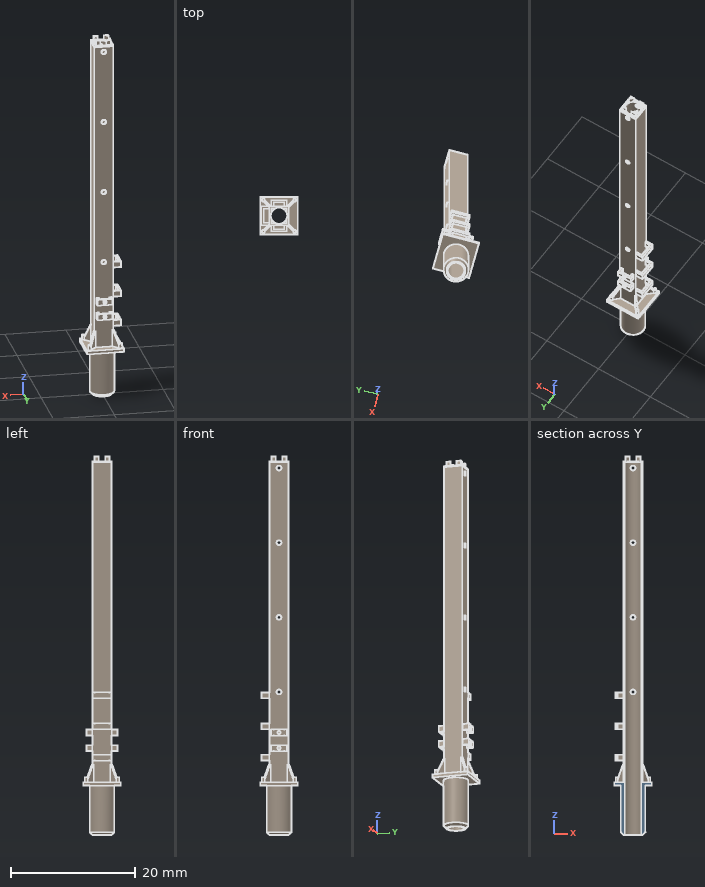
import cadquery as cq
import math

total_height = 60.9
bore_diameter = 2.6

spigot_diameter = 4.0
spigot_length = 8.0
spigot_chamfer = 0.5

flange_side = 6.0
flange_thickness = 0.55
flange_top = spigot_length + flange_thickness
stud_diameter = 0.5
stud_height = 0.8
stud_inset = 0.5
stud_offset = flange_side / 2 - stud_inset

column_side = 3.1
column_half = column_side / 2
cross_hole_diameter = 0.75
cross_hole_count = 4
cross_hole_pitch = 12.0
lowest_cross_hole = 23.0

gusset_thickness = 0.275
gusset_height = 2.8
gusset_foot_offset = 2.55

bracket_height = 1.0
bracket_wall = 0.35
side_bracket_width = 3.05
side_bracket_reach = 1.3
side_bracket_count = 3
side_bracket_pitch = 5.0
lowest_side_bracket = 12.0
face_bracket_width = 2.45
face_bracket_reach = 1.0
face_bracket_count = 2
face_bracket_pitch = 2.5
lowest_face_bracket = 13.5
face_bracket_hole_diameter = 0.5

cap_thickness = 0.2
peg_height = 0.8
peg_side = 0.75
peg_offset = 0.85
cap_top = total_height - peg_height
column_top = cap_top - cap_thickness


def corner_points(offset):
    """The four points at +-offset in X and Y."""
    return [(x, y) for x in (-offset, offset) for y in (-offset, offset)]


def square_block(side, bottom, top):
    """Square prism centred on the Z axis."""
    return cq.Workplane("XY", origin=(0, 0, bottom)).rect(side, side).extrude(top - bottom)


def axial_bore():
    """Cutter for the bore that runs the full height."""
    return cq.Workplane("XY").circle(bore_diameter / 2).extrude(total_height)


def spigot():
    """Round spigot with a chamfered lower end."""
    shaft = cq.Workplane("XY").circle(spigot_diameter / 2).extrude(spigot_length)
    return shaft.faces("<Z").chamfer(spigot_chamfer)


def studs():
    """Locating studs on the flange corners."""
    base = cq.Workplane("XY", origin=(0, 0, flange_top)).pushPoints(corner_points(stud_offset))
    return base.circle(stud_diameter / 2).extrude(stud_height)


def gusset(angle):
    """Triangular rib outwards from a column corner, turned to the given angle about Z."""
    corner_radius = column_half * math.sqrt(2)
    foot_radius = gusset_foot_offset * math.sqrt(2)
    root_radius = corner_radius - gusset_thickness
    rib = (
        cq.Workplane("XZ", origin=(0, gusset_thickness / 2, 0))
        .moveTo(root_radius, flange_top)
        .lineTo(foot_radius, flange_top)
        .lineTo(corner_radius, flange_top + gusset_height)
        .lineTo(root_radius, flange_top + gusset_height)
        .close()
        .extrude(gusset_thickness)
    )
    return rib.rotate((0, 0, 0), (0, 0, 1), angle)


def bracket(width, reach, bottom):
    """Loop bracket on the +X column face."""
    slot_reach = reach - bracket_wall
    slot_width = width - 2 * bracket_wall
    base = cq.Workplane("XY", origin=(column_half, 0, bottom))
    block = base.center(reach / 2, 0).rect(reach, width).extrude(bracket_height)
    slot = base.center(slot_reach / 2, 0).rect(slot_reach, slot_width).extrude(bracket_height)
    return block.cut(slot)


def face_bracket(bottom):
    """Narrow bracket with a round hole through its outer wall."""
    wall_start = column_half + face_bracket_reach - bracket_wall
    start = cq.Workplane("YZ", origin=(wall_start, 0, bottom + bracket_height / 2))
    hole = start.circle(face_bracket_hole_diameter / 2).extrude(bracket_wall)
    return bracket(face_bracket_width, face_bracket_reach, bottom).cut(hole)


def cross_holes():
    """Cutter for the holes through the column along Y."""
    heights = [(0, lowest_cross_hole + i * cross_hole_pitch) for i in range(cross_hole_count)]
    start = cq.Workplane("XZ", origin=(0, column_half, 0))
    return start.pushPoints(heights).circle(cross_hole_diameter / 2).extrude(column_side)


def make_mast():
    """Spigot, flange, column, gussets and brackets as one solid."""
    body = spigot()
    body = body.union(square_block(flange_side, spigot_length, flange_top))
    body = body.union(square_block(column_side, flange_top, column_top))
    body = body.union(studs())
    for quarter_turn in range(4):
        body = body.union(gusset(45 + 90 * quarter_turn))
    body = body.cut(axial_bore()).cut(cross_holes())
    for i in range(side_bracket_count):
        bottom = lowest_side_bracket + i * side_bracket_pitch
        loop = bracket(side_bracket_width, side_bracket_reach, bottom)
        body = body.union(loop.rotate((0, 0, 0), (0, 0, 1), 180))
    for i in range(face_bracket_count):
        loop = face_bracket(lowest_face_bracket + i * face_bracket_pitch)
        for angle in (90, 270):
            body = body.union(loop.rotate((0, 0, 0), (0, 0, 1), angle))
    return body


def make_cap():
    """Thin plate with four square pegs, whose inner corners are cut away by the bore."""
    plate = square_block(column_side, column_top, cap_top)
    base = cq.Workplane("XY", origin=(0, 0, cap_top)).pushPoints(corner_points(peg_offset))
    pegs = base.rect(peg_side, peg_side).extrude(peg_height)
    return plate.union(pegs).cut(axial_bore())


mast = make_mast()
cap = make_cap()

result = cq.Compound.makeCompound([mast.val(), cap.val()])